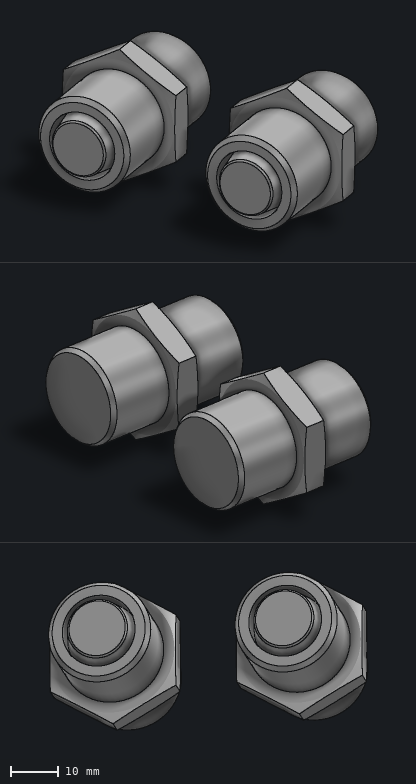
import cadquery as cq
import math

hex_flats = 27.0
overall_width = 67.0
pitch = overall_width - hex_flats
fitting_count = 2

housing_diameter = 22.0
housing_length = 38.0
front_chamfer = 1.0
rear_chamfer_diameter = 20.4
rear_chamfer_length = 1.1

recess_diameter = 15.6
plug_protrusion = 1.8
plug_tip_diameter = 12.85
plug_chamfer = 0.4
plug_draft = 10.0

nut_front = 16.1
nut_thickness = 6.0
nut_face_diameter = 26.65
nut_chamfer_angle = 15.0

housing_radius = housing_diameter / 2
recess_radius = recess_diameter / 2
plug_tip_radius = plug_tip_diameter / 2
plug_cone_front = -plug_protrusion + plug_chamfer
plug_cone_length = (recess_radius - plug_tip_radius) / math.tan(math.radians(plug_draft))
recess_depth = plug_cone_front + plug_cone_length
hex_corners = hex_flats / math.cos(math.pi / 6)


def revolve_about_y(profile_points):
    """Revolve a closed (radius, y) profile about the Y axis."""
    return cq.Workplane("XY").polyline(profile_points).close().revolve(360, (0, 0, 0), (0, 1, 0))


def make_housing():
    """Chamfered cylinder with a blind round recess in its front face."""
    return revolve_about_y([
        (0, recess_depth),
        (recess_radius, recess_depth),
        (recess_radius, 0),
        (housing_radius - front_chamfer, 0),
        (housing_radius, front_chamfer),
        (housing_radius, housing_length - rear_chamfer_length),
        (rear_chamfer_diameter / 2, housing_length),
        (0, housing_length),
    ])


def make_plug():
    """Tapered plug standing on the recess floor, chamfered at its tip."""
    return revolve_about_y([
        (0, -plug_protrusion),
        (plug_tip_radius - plug_chamfer, -plug_protrusion),
        (plug_tip_radius, plug_cone_front),
        (recess_radius, recess_depth),
        (0, recess_depth),
    ])


def make_nut():
    """Hexagonal nut with conically chamfered corners and two corners along Z."""
    nut_rear = nut_front + nut_thickness
    corner_radius = hex_corners / 2
    face_radius = nut_face_diameter / 2
    corner_drop = (corner_radius - face_radius) * math.tan(math.radians(nut_chamfer_angle))

    hexagon = (
        cq.Workplane("XZ", origin=(0, nut_front, 0))
        .transformed(rotate=(0, 0, 90))
        .polygon(6, hex_corners)
        .extrude(-nut_thickness)
    )
    chamfered_ring = revolve_about_y([
        (housing_radius, nut_front),
        (face_radius, nut_front),
        (corner_radius, nut_front + corner_drop),
        (corner_radius, nut_rear - corner_drop),
        (face_radius, nut_rear),
        (housing_radius, nut_rear),
    ])
    return hexagon.intersect(chamfered_ring)


bodies = []
for index in range(fitting_count):
    fitting_offset = (index * pitch, 0, 0)
    for make_body in (make_housing, make_plug, make_nut):
        bodies.append(make_body().translate(fitting_offset).val())

result = cq.Compound.makeCompound(bodies)